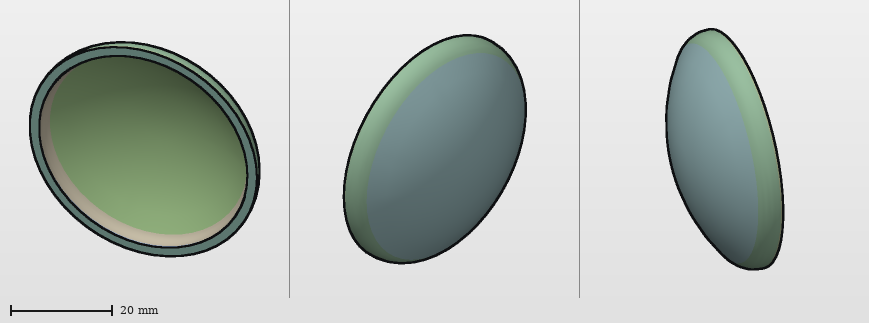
import cadquery as cq
import math

rim_radius = 24.15
height = 12.0
wall = 2.05
rim_band = 0.5
shoulder_radius = 5.0

shoulder_x = rim_radius - shoulder_radius
shoulder_y = rim_band

apex_rise = height - shoulder_y
dome_radius = (shoulder_x**2 + apex_rise**2 - shoulder_radius**2) / (2 * (apex_rise - shoulder_radius))
dome_center_y = height - dome_radius

tangent_angle = math.atan2(shoulder_y - dome_center_y, shoulder_x)


def point_on_arc(center_x, center_y, radius, angle):
    return (center_x + radius * math.cos(angle), center_y + radius * math.sin(angle))


def dome_solid(inset):
    """Solid of revolution under the outer surface, moved inwards by inset."""
    shoulder = shoulder_radius - inset
    dome = dome_radius - inset
    dome_mid_angle = (tangent_angle + math.pi / 2) / 2
    return (
        cq.Workplane("XY")
        .lineTo(rim_radius - inset, 0)
        .lineTo(rim_radius - inset, rim_band)
        .threePointArc(
            point_on_arc(shoulder_x, shoulder_y, shoulder, tangent_angle / 2),
            point_on_arc(shoulder_x, shoulder_y, shoulder, tangent_angle),
        )
        .threePointArc(
            point_on_arc(0, dome_center_y, dome, dome_mid_angle),
            (0, height - inset),
        )
        .close()
        .revolve(360, (0, 0, 0), (0, 1, 0))
    )


result = dome_solid(0).cut(dome_solid(wall))